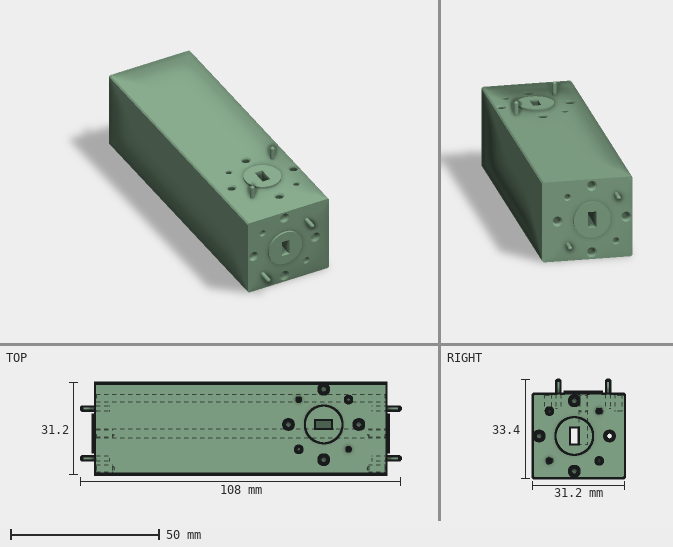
import cadquery as cq
import math

OVERALL_X = 108.0
OVERALL_Z = 33.4
PIN_HEIGHT = 4.8

BODY_X = OVERALL_X - 2 * PIN_HEIGHT
BODY_Y = 31.2
BODY_Z = OVERALL_Z - PIN_HEIGHT
EDGE_CHAMFER = 0.5

GUIDE_BROAD = 5.7
GUIDE_NARROW = 2.9
BOSS_DIAMETER = 12.7
BOSS_HEIGHT = 0.8

BOLT_CIRCLE_RADIUS = 11.9
SCREW_DIAMETER = 2.4
SCREW_MOUTH_DIAMETER = 3.6
SCREW_DEPTH = 5.9
SOCKET_DIAMETER = 1.7
SOCKET_MOUTH_DIAMETER = 2.5
SOCKET_DEPTH = 5.0
PIN_DIAMETER = 1.5
PIN_TIP_CHAMFER = 0.5
DRILL_POINT_ANGLE = 118.0

PORT_OFFSET_Y = 1.5
TOP_PORT_FROM_END = 21.3
TOP_PORT_X = BODY_X / 2 - TOP_PORT_FROM_END

LEFT_PORT = cq.Plane(origin=(-BODY_X / 2, -PORT_OFFSET_Y, 0), xDir=(0, -1, 0), normal=(-1, 0, 0))
RIGHT_PORT = cq.Plane(origin=(BODY_X / 2, -PORT_OFFSET_Y, 0), xDir=(0, 1, 0), normal=(1, 0, 0))
TOP_PORT = cq.Plane(origin=(TOP_PORT_X, PORT_OFFSET_Y, BODY_Z / 2), xDir=(1, 0, 0), normal=(0, 0, 1))


def on_circle(angle):
    """Point of the bolt circle at an angle in degrees."""
    return (
        BOLT_CIRCLE_RADIUS * math.cos(math.radians(angle)),
        BOLT_CIRCLE_RADIUS * math.sin(math.radians(angle)),
    )


def drilled_holes(port, angles, diameter, mouth_diameter, depth, pointed):
    """Cutters for holes with a 45 degree countersunk mouth and a flat or drill-pointed bottom."""
    radius = diameter / 2
    mouth_radius = mouth_diameter / 2
    point_height = 0
    if pointed:
        point_height = radius / math.tan(math.radians(DRILL_POINT_ANGLE / 2))
    profile = (
        cq.Workplane("XZ")
        .moveTo(0, 0)
        .lineTo(mouth_radius, 0)
        .lineTo(radius, radius - mouth_radius)
        .lineTo(radius, -depth)
        .lineTo(0, -depth - point_height)
        .close()
    )
    cutter = profile.revolve(360, (0, 0, 0), (0, 1, 0)).val()
    centres = cq.Workplane(port).pushPoints([on_circle(angle) for angle in angles])
    return centres.eachpoint(lambda place: cutter.moved(place), True)


def screw_holes(port, angles, depth=SCREW_DEPTH, pointed=True):
    return drilled_holes(port, angles, SCREW_DIAMETER, SCREW_MOUTH_DIAMETER, depth, pointed)


def pin_sockets(port, angles):
    return drilled_holes(port, angles, SOCKET_DIAMETER, SOCKET_MOUTH_DIAMETER, SOCKET_DEPTH, False)


def boss(port):
    return cq.Workplane(port).circle(BOSS_DIAMETER / 2).extrude(BOSS_HEIGHT)


def alignment_pins(port, angles):
    return (
        cq.Workplane(port)
        .pushPoints([on_circle(angle) for angle in angles])
        .circle(PIN_DIAMETER / 2)
        .extrude(PIN_HEIGHT)
        .faces(cq.selectors.DirectionMinMaxSelector(port.zDir, True))
        .chamfer(PIN_TIP_CHAMFER)
    )


result = cq.Workplane("XY").box(BODY_X, BODY_Y, BODY_Z).edges("|X").chamfer(EDGE_CHAMFER)

for port, pin_angles, socket_angles in (
    (LEFT_PORT, (45, 225), (135, 315)),
    (RIGHT_PORT, (45, 225), (135, 315)),
    (TOP_PORT, (135, 315), (45, 225)),
):
    result = result.union(boss(port)).union(alignment_pins(port, pin_angles))
    result = result.cut(pin_sockets(port, socket_angles))

for port, plus_y_angle in ((LEFT_PORT, 180), (RIGHT_PORT, 0), (TOP_PORT, 90)):
    other_angles = [plus_y_angle + step for step in (90, 180, 270)]
    plus_y_depth = SCREW_DEPTH if port is TOP_PORT else BODY_X / 2
    result = result.cut(screw_holes(port, other_angles))
    result = result.cut(screw_holes(port, [plus_y_angle], plus_y_depth, pointed=False))

main_guide = cq.Workplane("XY").box(OVERALL_X, GUIDE_NARROW, GUIDE_BROAD).translate((0, -PORT_OFFSET_Y, 0))
result = result.cut(main_guide)

branch_depth = BODY_Z / 2 + GUIDE_BROAD / 2
branch_guide = (
    cq.Workplane(TOP_PORT)
    .workplane(offset=BOSS_HEIGHT)
    .rect(GUIDE_BROAD, GUIDE_NARROW)
    .extrude(-BOSS_HEIGHT - branch_depth)
)
result = result.cut(branch_guide)